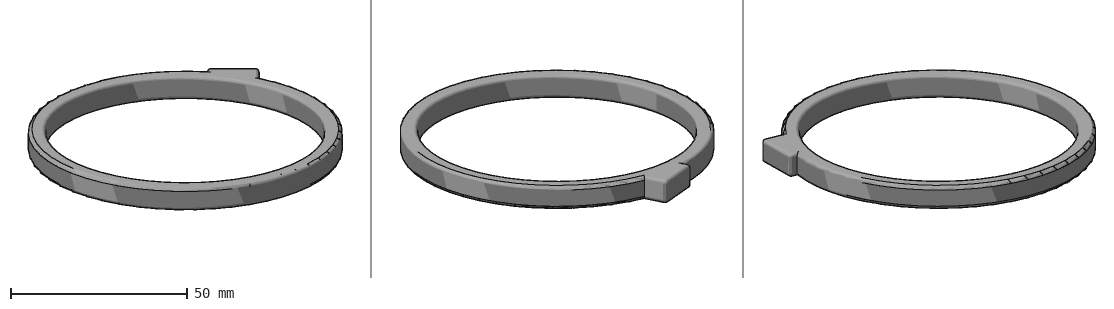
import cadquery as cq

outer_diameter = 89.0
bore_diameter = 79.05
height = 7.0

tab_angle = 27.5
tab_start = 6.2
tab_end = 20.9
tab_reach = 46.5

edge_radius = 1.0


def make_disc():
    """Solid disc that becomes the ring once it is bored."""
    return cq.Workplane("XY").circle(outer_diameter / 2).extrude(height)


def make_tab():
    """Block from inside the disc out to the flat outer face, with rounded outer corners."""
    return (
        cq.Workplane("XY")
        .moveTo(tab_start, 0)
        .lineTo(tab_end, 0)
        .lineTo(tab_end, tab_reach)
        .lineTo(tab_start, tab_reach)
        .close()
        .extrude(height)
        .faces(">Y")
        .edges("|Z")
        .fillet(edge_radius)
        .rotate((0, 0, 0), (0, 0, 1), tab_angle)
    )


def make_bore():
    """Cylinder that opens the middle of the disc and trims the tab's inner end."""
    return cq.Workplane("XY").circle(bore_diameter / 2).extrude(height)


def make_ring():
    """Ring with its tab, rounded along every top and bottom edge."""
    body = make_disc().union(make_tab()).cut(make_bore())
    return body.faces("<Z or >Z").edges().fillet(edge_radius)


ring = make_ring()

result = cq.Compound.makeCompound([ring.val()])